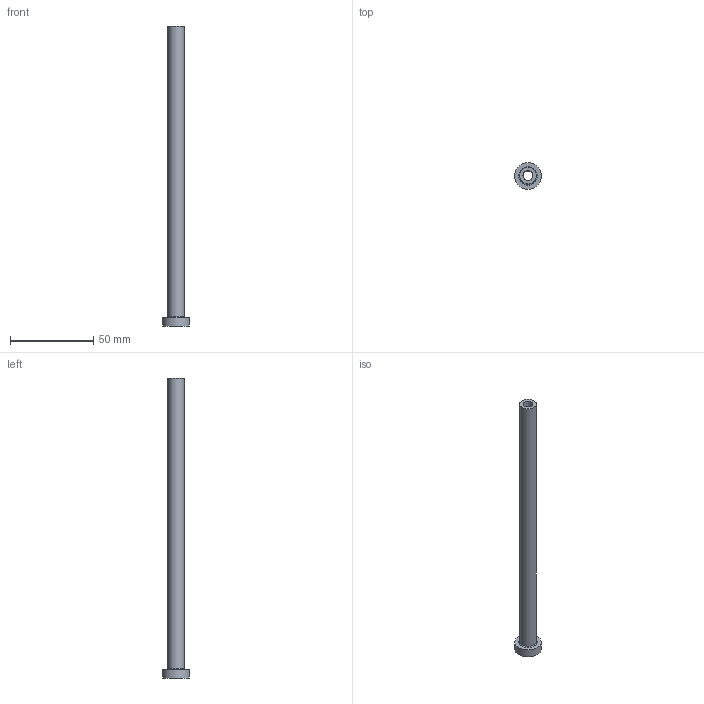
import cadquery as cq

total_length = 180.0
head_diameter = 16.0
head_height = 5.0
shank_diameter = 10.0
bore_diameter = 6.0
neck_fillet = 0.5

head_radius = head_diameter / 2
shank_radius = shank_diameter / 2


def make_body():
    """Head and shank turned about Z, with a concave fillet where they meet."""
    profile = (
        cq.Workplane("XZ")
        .lineTo(head_radius, 0)
        .lineTo(head_radius, head_height)
        .lineTo(shank_radius + neck_fillet, head_height)
        .radiusArc((shank_radius, head_height + neck_fillet), neck_fillet)
        .lineTo(shank_radius, total_length)
        .lineTo(0, total_length)
        .close()
    )
    return profile.revolve(360, (0, 0, 0), (0, 1, 0))


def make_bore():
    """Through bore along the full length of the sleeve."""
    return cq.Workplane("XY").circle(bore_diameter / 2).extrude(total_length)


result = make_body().cut(make_bore())